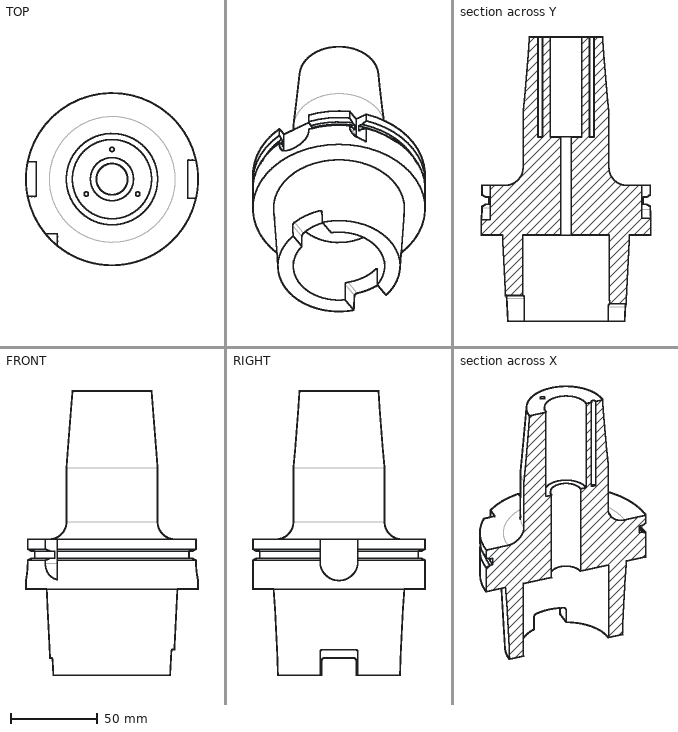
import cadquery as cq
import math


shank_length = 50.0
shank_top_radius = 38.0
shank_end_radius = 35.5
cavity_radius = 26.5
cavity_depth = shank_length

flange_radius = 50.0
flange_height = 29.0
groove_centre_z = 20.0
groove_floor_width = 4.0
groove_mouth_width = 6.6
groove_floor_radius = 46.0
groove_chamfer_angle = math.radians(30)

nose_top_z = 115.0
nose_radius = 26.5
nose_tip_radius = 23.0
nose_taper_angle = math.radians(4.5)
root_fillet = 10.0

tool_bore_diameter = 25.0
tool_bore_depth = 58.0
through_bore_diameter = 18.0
coolant_hole_diameter = 2.5
coolant_circle_radius = 17.25
coolant_hole_count = 3
coolant_start_angle = 90.0

slot_bottom_z = 5.0
slot_floor_x = 44.0
left_slot_width = 20.0
right_slot_width = 22.0
corner_notch_inset = 31.7

left_keyway_depth = 10.0
right_keyway_depth = 15.0
left_keyway_width = left_slot_width
right_keyway_width = right_slot_width
keyway_corner_radius = 1.5

overrun = 5.0


def make_body():
    """Revolve the outer profile around the tool axis."""
    taper_length = (nose_radius - nose_tip_radius) / math.tan(nose_taper_angle)
    taper_start_z = nose_top_z - taper_length
    floor_low_z = groove_centre_z - groove_floor_width / 2
    floor_high_z = groove_centre_z + groove_floor_width / 2
    chamfer_height = (groove_mouth_width - groove_floor_width) / 2
    chamfer_radius = flange_radius - chamfer_height / math.tan(groove_chamfer_angle)
    arc_offset = root_fillet * (1 - math.sqrt(0.5))
    profile = (
        cq.Workplane("XZ")
        .moveTo(0, -shank_length)
        .lineTo(shank_end_radius, -shank_length)
        .lineTo(shank_top_radius, 0)
        .lineTo(flange_radius, 0)
        .lineTo(flange_radius, floor_low_z - chamfer_height)
        .lineTo(chamfer_radius, floor_low_z)
        .lineTo(groove_floor_radius, floor_low_z)
        .lineTo(groove_floor_radius, floor_high_z)
        .lineTo(chamfer_radius, floor_high_z)
        .lineTo(flange_radius, floor_high_z + chamfer_height)
        .lineTo(flange_radius, flange_height)
        .lineTo(nose_radius + root_fillet, flange_height)
        .threePointArc(
            (nose_radius + arc_offset, flange_height + arc_offset),
            (nose_radius, flange_height + root_fillet),
        )
        .lineTo(nose_radius, taper_start_z)
        .lineTo(nose_tip_radius, nose_top_z)
        .lineTo(0, nose_top_z)
        .close()
    )
    return profile.revolve(360, (0, 0, 0), (0, 1, 0))


def cylinder(diameter, bottom_z, top_z):
    """Cylinder on the tool axis between two heights."""
    return cq.Workplane("XY").workplane(offset=bottom_z).circle(diameter / 2).extrude(top_z - bottom_z)


def cut_bores(body):
    """Open the tool bore, the through bore and the shank cavity."""
    body = body.cut(cylinder(through_bore_diameter, -shank_length, nose_top_z))
    body = body.cut(cylinder(tool_bore_diameter, nose_top_z - tool_bore_depth, nose_top_z))
    return body.cut(cylinder(2 * cavity_radius, -shank_length, cavity_depth - shank_length))


def cut_coolant_holes(body):
    """Drill the coolant holes down from the nose face, around the tool bore."""
    holes = (
        cq.Workplane("XY")
        .workplane(offset=nose_top_z)
        .polarArray(coolant_circle_radius, coolant_start_angle, 360, coolant_hole_count)
        .circle(coolant_hole_diameter / 2)
        .extrude(-tool_bore_depth)
    )
    return body.cut(holes)


def rim_slot(start_x, end_x, centre_y, width):
    """Slot along X, open at the flange top, with a half-round bottom."""
    radius = width / 2
    arc_centre_z = slot_bottom_z + radius
    return (
        cq.Workplane("YZ")
        .workplane(offset=start_x)
        .moveTo(centre_y - radius, flange_height)
        .lineTo(centre_y - radius, arc_centre_z)
        .threePointArc((centre_y, slot_bottom_z), (centre_y + radius, arc_centre_z))
        .lineTo(centre_y + radius, flange_height)
        .close()
        .extrude(end_x - start_x)
    )


def cut_rim_slots(body):
    """Cut the two opposite drive slots and the notch between -X and -Y."""
    outer_x = flange_radius + overrun
    notch_centre_y = -corner_notch_inset - left_slot_width / 2
    body = body.cut(rim_slot(-outer_x, -slot_floor_x, 0, left_slot_width))
    body = body.cut(rim_slot(slot_floor_x, outer_x, 0, right_slot_width))
    return body.cut(rim_slot(-outer_x, -corner_notch_inset, notch_centre_y, left_slot_width))


def keyway(side, width, depth):
    """Keyway from the tool axis out past the shank; side is -1 for -X, 1 for +X."""
    length = shank_top_radius + overrun
    block = (
        cq.Workplane("XY")
        .box(length, width, depth, centered=(True, True, False))
        .edges("|X and >Z")
        .fillet(keyway_corner_radius)
    )
    return block.translate((side * length / 2, 0, -shank_length))


def cut_keyways(body):
    """Cut both keyways through the shank wall into the cavity."""
    body = body.cut(keyway(-1, left_keyway_width, left_keyway_depth))
    return body.cut(keyway(1, right_keyway_width, right_keyway_depth))


result = make_body()
result = cut_bores(result)
result = cut_coolant_holes(result)
result = cut_rim_slots(result)
result = cut_keyways(result)